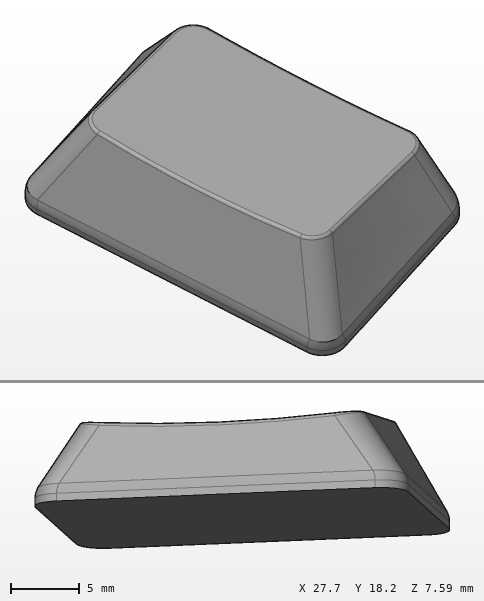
import cadquery as cq
import math

length = 27.69
width = 18.16
corner_radius = 2.0

skirt_height = 0.57
shoulder_top = 1.31
shoulder_sections = 5
front_corner_radius = 1.7

tilt = math.radians(7.2)
top_height = 7.2
top_length = 20.75
top_front_y = -5.37
top_back_y = 8.66

dish_radius = 115.0
dish_height = 6.54
dish_length = 60.0
rim_radius = 0.3


wall_foot = (skirt_height + shoulder_top) / 2
front_rise = top_height - top_front_y * math.tan(tilt) - wall_foot
back_rise = top_height - top_back_y * math.tan(tilt) - wall_foot
side_slope = (length - top_length) / 2 / front_rise
front_slope = (width / 2 + top_front_y) / front_rise
back_slope = (width / 2 - top_back_y) / back_rise


def rounded_rectangle(size_x, size_y, front_radius):
    """Flat rounded rectangle centred on the origin."""
    front_rounded = cq.Sketch().rect(size_x, size_y).vertices("<Y").fillet(front_radius)
    return front_rounded.reset().vertices(">Y").fillet(corner_radius).reset()


def shoulder_outline(height):
    """Outline of the shoulder at a height.

    Its sides follow parabolas that leave the skirt vertically and end at the slope of each wall.
    """
    shoulder_height = shoulder_top - skirt_height
    progress = ((height - skirt_height) / shoulder_height) ** 2
    rise = progress * shoulder_height / 2
    size_x = length - 2 * rise * side_slope
    size_y = width - rise * (front_slope + back_slope)
    front_radius = corner_radius + progress * (front_corner_radius - corner_radius)
    center = cq.Vector(0, rise * (front_slope - back_slope) / 2, height)
    return rounded_rectangle(size_x, size_y, front_radius).moved(cq.Location(center))


def top_outline():
    """Tilted rounded rectangle that the walls rise to."""
    center_y = (top_front_y + top_back_y) / 2
    center = cq.Vector(0, center_y, top_height - center_y * math.tan(tilt))
    size_y = (top_back_y - top_front_y) / math.cos(tilt)
    placement = cq.Location(center, cq.Vector(1, 0, 0), -math.degrees(tilt))
    return rounded_rectangle(top_length, size_y, front_corner_radius).moved(placement)


def make_skirt():
    """Vertical band around the foot of the key."""
    foot = rounded_rectangle(length, width, corner_radius)
    return cq.Workplane("XY").placeSketch(foot).extrude(skirt_height)


def make_shoulder():
    """Smooth blend from the vertical skirt into the sloping walls."""
    step = (shoulder_top - skirt_height) / (shoulder_sections - 1)
    heights = [skirt_height + step * index for index in range(shoulder_sections)]
    sections = [shoulder_outline(height) for height in heights]
    return cq.Workplane("XY").placeSketch(*sections).loft()


def make_walls():
    """Sloping walls from the shoulder to the tilted top; the side walls twist slightly."""
    return cq.Workplane("XY").placeSketch(shoulder_outline(shoulder_top), top_outline()).loft(ruled=True)


def cut_dish(body):
    """Trim the top with the tilted cylinder."""
    axis = cq.Vector(0, math.cos(tilt), -math.sin(tilt))
    upward = cq.Vector(0, math.sin(tilt), math.cos(tilt))
    lowest_point = cq.Vector(0, 0, dish_height)
    start = lowest_point + upward * dish_radius - axis * (dish_length / 2)
    dish = cq.Solid.makeCylinder(dish_radius, dish_length, start, axis)
    return body.cut(cq.Workplane(obj=dish))


def round_rim(body):
    """Soften the edge between the dish and the walls."""
    return body.faces(">Z").edges().fillet(rim_radius)


blank = make_skirt().union(make_shoulder()).union(make_walls())
result = round_rim(cut_dish(blank))